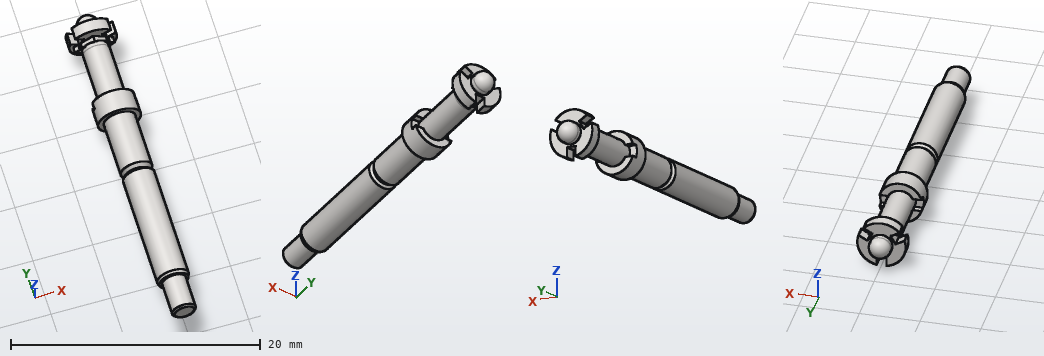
import cadquery as cq
import math

total_length = 27.7

tail_length = 2.95
tail_radius = 1.0
tail_chamfer = 0.17

barrel_radius = 1.33
barrel_chamfer_length = 0.28
barrel_chamfer_depth = 0.1
groove_start = 12.71
groove_bottom = 12.95
groove_end = 13.32
groove_bottom_radius = 1.08

collar_start = 18.0
collar_length = 1.83
collar_radius = 1.8
slot_width = 1.02
slot_depth = 0.53

shaft_radius = 1.14
taper_start = 24.4
taper_end_radius = 1.08

neck_start = 24.82
neck_half_width = 1.65
neck_half_height = 1.08

head_start = 25.32
head_end = 26.35
head_radius = 2.0
notch_width = 0.8
notch_floor_distance = 1.1
notch_angles = (30, 150, 270)

tip_radius = 0.91

collar_end = collar_start + collar_length


def prism(sketch, start, end):
    """Extrude an XZ sketch along +Y, from start to end."""
    return sketch.extrude(start - end).translate((0, start, 0))


def make_body():
    """Revolve the stepped round body, from the tail to the start of the neck."""
    barrel_end_radius = barrel_radius - barrel_chamfer_depth
    profile = (
        cq.Workplane("XY")
        .moveTo(0, 0)
        .lineTo(tail_radius - tail_chamfer, 0)
        .lineTo(tail_radius, tail_chamfer)
        .lineTo(tail_radius, tail_length)
        .lineTo(barrel_end_radius, tail_length)
        .lineTo(barrel_radius, tail_length + barrel_chamfer_length)
        .lineTo(barrel_radius, groove_start)
        .lineTo(groove_bottom_radius, groove_bottom)
        .lineTo(barrel_radius, groove_end)
        .lineTo(barrel_radius, collar_start)
        .lineTo(shaft_radius, collar_start)
        .lineTo(shaft_radius, taper_start)
        .lineTo(taper_end_radius, neck_start)
        .lineTo(0, neck_start)
        .close()
    )
    return profile.revolve(360, (0, 0, 0), (0, 1, 0))


def make_tip():
    """Revolve the round tip with its hemispherical end, standing on the head."""
    dome_start = total_length - tip_radius
    dome_middle = tip_radius * math.sqrt(0.5)
    profile = (
        cq.Workplane("XY")
        .moveTo(0, head_end)
        .lineTo(tip_radius, head_end)
        .lineTo(tip_radius, dome_start)
        .threePointArc((dome_middle, dome_start + dome_middle), (0, total_length))
        .close()
    )
    return profile.revolve(360, (0, 0, 0), (0, 1, 0))


def make_collar():
    """Make the collar, with its slot running across along X."""
    collar = prism(cq.Workplane("XZ").circle(collar_radius), collar_start, collar_end)
    slot = prism(
        cq.Workplane("XZ").rect(2 * collar_radius, slot_width),
        collar_end - slot_depth,
        collar_end,
    )
    return collar.cut(slot)


def make_head():
    """Make the head and its diamond neck, with notches cut through both."""
    head = prism(cq.Workplane("XZ").circle(head_radius), head_start, head_end)
    corners = [
        (neck_half_width, 0),
        (0, neck_half_height),
        (-neck_half_width, 0),
        (0, -neck_half_height),
    ]
    neck = prism(cq.Workplane("XZ").polyline(corners).close(), neck_start, head_start)
    head = head.union(neck)
    notch_middle = notch_floor_distance + head_radius / 2
    for angle in notch_angles:
        notch = prism(
            cq.Workplane("XZ").center(notch_middle, 0).rect(head_radius, notch_width),
            neck_start,
            head_end,
        )
        head = head.cut(notch.rotate((0, 0, 0), (0, 1, 0), -angle))
    return head


result = make_body().union(make_collar()).union(make_head()).union(make_tip())